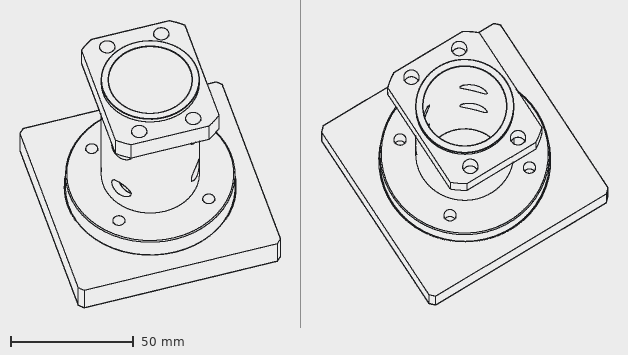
import cadquery as cq

plate_side = 86.0
plate_height = 11.95
plate_corner_chamfer = 2.0

foot_diameter = 69.0
foot_top = 20.3
foot_edge_chamfer = 0.5
recess_diameter = 70.0
recess_depth = 1.0
foot_hole_diameter = 4.9
foot_hole_circle_diameter = 54.0

tube_diameter = 40.0
bore_diameter = 34.0
tube_top = 84.0
tube_edge_chamfer = 0.2
bore_edge_chamfer = 0.2
cross_hole_diameter = 8.0
cross_hole_x = 11.35
cross_hole_heights = (31.1, 56.1)

flange_length = 56.0
flange_width = 44.0
flange_corner_diameter = 65.0
flange_height = 9.0
flange_top = 82.05
flange_hole_diameter = 6.2
flange_hole_spacing_x = 45.0
flange_hole_spacing_y = 23.0


def cylinder(diameter, bottom, top):
    """Vertical cylinder on the main axis."""
    return cq.Workplane("XY").workplane(offset=bottom).circle(diameter / 2).extrude(top - bottom)


def make_plate():
    plate = cq.Workplane("XY").rect(plate_side, plate_side).extrude(plate_height)
    plate = plate.edges("|Z").chamfer(plate_corner_chamfer)
    return plate.cut(cylinder(recess_diameter, plate_height - recess_depth, plate_height))


def make_foot():
    foot = cylinder(foot_diameter, plate_height - recess_depth, foot_top)
    foot = foot.faces(">Z").edges().chamfer(foot_edge_chamfer)
    screw_holes = (
        cq.Workplane("XY")
        .workplane(offset=plate_height - recess_depth)
        .polarArray(foot_hole_circle_diameter / 2, 45, 360, 4)
        .circle(foot_hole_diameter / 2)
        .extrude(foot_top - plate_height + recess_depth)
    )
    return foot.cut(screw_holes)


def make_flange():
    flange_bottom = flange_top - flange_height
    flange = (
        cq.Workplane("XY")
        .workplane(offset=flange_bottom)
        .rect(flange_length, flange_width)
        .extrude(flange_height)
        .intersect(cylinder(flange_corner_diameter, flange_bottom, flange_top))
    )
    return (
        flange.faces(">Z")
        .workplane(origin=(0, 0, flange_top))
        .rarray(flange_hole_spacing_x, flange_hole_spacing_y, 2, 2)
        .hole(flange_hole_diameter)
    )


def make_tube():
    tube = cylinder(tube_diameter, plate_height, tube_top)
    return tube.faces(">Z").edges().chamfer(tube_edge_chamfer)


def make_cross_holes():
    """Off-centre holes along Y, through both walls of the tube."""
    return (
        cq.Workplane("XZ")
        .pushPoints([(cross_hole_x, height) for height in cross_hole_heights])
        .circle(cross_hole_diameter / 2)
        .extrude(tube_diameter / 2, both=True)
    )


def make_bore():
    """Through bore, flared at the top by its edge chamfer."""
    flare = (
        cq.Workplane("XY")
        .workplane(offset=tube_top - bore_edge_chamfer)
        .circle(bore_diameter / 2)
        .workplane(offset=bore_edge_chamfer)
        .circle(bore_diameter / 2 + bore_edge_chamfer)
        .loft()
    )
    return cylinder(bore_diameter, 0, tube_top).union(flare)


body = make_plate().union(make_foot()).union(make_tube()).union(make_flange())
result = body.cut(make_bore()).cut(make_cross_holes())